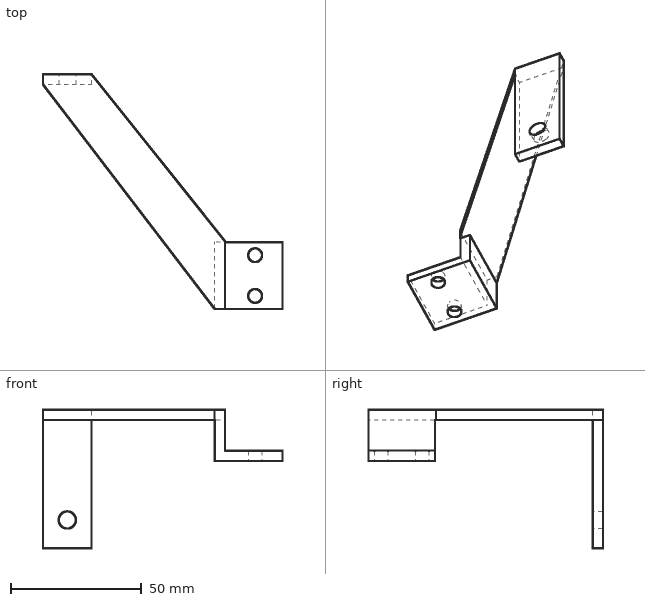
import cadquery as cq

LENGTH_X = 91.7
LENGTH_Y = 89.9
HEIGHT = 53.1

THICKNESS = 4.0

TAB_WIDTH = 18.6
TAB_HOLE_DIAMETER = 6.5
TAB_HOLE_HEIGHT = 10.9

FOOT_LENGTH = 26.0
FOOT_WIDTH = 25.6
FOOT_DROP = 19.7
FOOT_HOLE_DIAMETER = 5.2
FOOT_HOLE_SPACING = 15.6
FOOT_HOLE_EDGE_DISTANCE = 10.5

ARM_END_WIDTH = 26.0

arm_bottom = HEIGHT - THICKNESS
tab_front = LENGTH_Y - THICKNESS
wall_left = LENGTH_X - FOOT_LENGTH
wall_right = wall_left + THICKNESS
foot_bottom = HEIGHT - FOOT_DROP


def box_at(corner, size):
    """Box that starts at its lowest corner."""
    return cq.Workplane("XY").box(*size, centered=False).translate(corner)


def make_arm():
    """Flat top plate running diagonally, tapering slightly towards the tab."""
    outline = [
        (0, LENGTH_Y),
        (0, tab_front),
        (wall_left, 0),
        (wall_right, 0),
        (wall_right, ARM_END_WIDTH),
        (TAB_WIDTH, LENGTH_Y),
    ]
    return cq.Workplane("XY").workplane(offset=arm_bottom).polyline(outline).close().extrude(THICKNESS)


def make_tab():
    """Vertical plate below the back end of the arm, with one hole along Y."""
    tab = box_at((0, tab_front, 0), (TAB_WIDTH, THICKNESS, HEIGHT))
    hole = (
        cq.Workplane("XZ", origin=(TAB_WIDTH / 2, LENGTH_Y, TAB_HOLE_HEIGHT))
        .circle(TAB_HOLE_DIAMETER / 2)
        .extrude(THICKNESS)
    )
    return tab.cut(hole)


def make_foot():
    """Upright wall below the front end of the arm and a flat foot with two holes along Z."""
    wall = box_at((wall_left, 0, foot_bottom), (THICKNESS, FOOT_WIDTH, FOOT_DROP))
    plate = box_at((wall_left, 0, foot_bottom), (FOOT_LENGTH, FOOT_WIDTH, THICKNESS))
    hole_center = (LENGTH_X - FOOT_HOLE_EDGE_DISTANCE, FOOT_WIDTH / 2, foot_bottom)
    holes = (
        cq.Workplane("XY", origin=hole_center)
        .rarray(1, FOOT_HOLE_SPACING, 1, 2)
        .circle(FOOT_HOLE_DIAMETER / 2)
        .extrude(THICKNESS)
    )
    return wall.union(plate).cut(holes)


result = make_arm().union(make_tab()).union(make_foot())